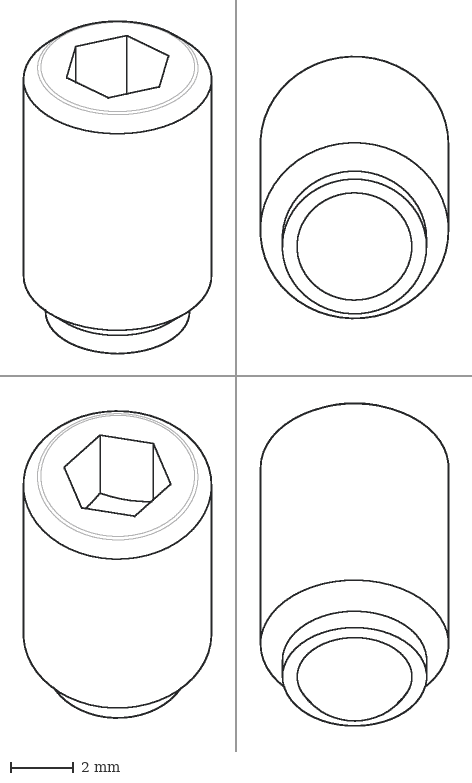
import cadquery as cq
import math


total_height = 10.8
housing_radius = 3.0

ball_radius = 2.0
ball_protrusion = 1.2

collar_radius = 2.3
collar_height = 0.71
cone_height = housing_radius - collar_radius
collar_top = ball_protrusion + collar_height

top_chamfer = 0.49
rim_round = 0.15

hex_across_flats = 3.0
hex_across_corners = hex_across_flats / math.cos(math.radians(30))
hex_depth = 3.0
drill_point_angle = 120.0
hex_corner_radius = hex_across_corners / 2
drill_point_height = hex_corner_radius / math.tan(math.radians(drill_point_angle / 2))


def make_ball():
    return cq.Workplane("XY").sphere(ball_radius).translate((0, 0, ball_radius))


def make_housing_blank():
    """Collar, lower cone, cylinder and chamfered top turned about Z."""
    profile = (
        cq.Workplane("XZ")
        .moveTo(0, ball_protrusion)
        .lineTo(collar_radius, ball_protrusion)
        .lineTo(collar_radius, collar_top)
        .lineTo(housing_radius, collar_top + cone_height)
        .lineTo(housing_radius, total_height - top_chamfer)
        .lineTo(housing_radius - top_chamfer, total_height)
        .lineTo(0, total_height)
        .close()
    )
    blank = profile.revolve(360, (0, 0, 0), (0, 1, 0))
    return blank.faces(">Z").edges().fillet(rim_round)


def make_hex_socket():
    """Hexagonal prism whose lower end is bounded by a drill-point cone."""
    socket_floor = total_height - hex_depth
    drill_tip = socket_floor - drill_point_height
    prism = (
        cq.Workplane("XY", origin=(0, 0, drill_tip))
        .polygon(6, hex_across_corners)
        .extrude(total_height - drill_tip)
    )
    drill = (
        cq.Workplane("XZ")
        .moveTo(0, drill_tip)
        .lineTo(hex_corner_radius, socket_floor)
        .lineTo(hex_corner_radius, total_height)
        .lineTo(0, total_height)
        .close()
        .revolve(360, (0, 0, 0), (0, 1, 0))
    )
    return prism.intersect(drill)


ball = make_ball()
housing = make_housing_blank().cut(make_hex_socket()).cut(ball)

result = cq.Compound.makeCompound([housing.solids().val(), ball.val()])